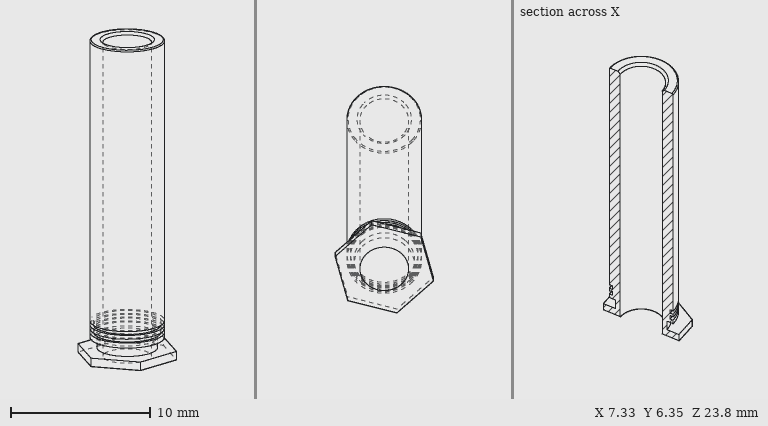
import cadquery as cq
import math

total_height = 23.8
hex_across_flats = 6.35
hex_thickness = 0.65

sleeve_diameter = 5.38
neck_diameter = 4.35
groove_diameter = 4.88
bore_diameter = 3.5
bore_mouth_diameter = 3.9

neck_top = 1.43
lower_collar_width = 0.38
groove_width = 0.29
groove_count = 2
land_width = 0.29
rim_chamfer = 0.1

hex_across_corners = hex_across_flats / math.cos(math.pi / 6)
flange = cq.Workplane("XY").polygon(6, hex_across_corners).extrude(hex_thickness)


def cylinder(diameter, bottom, top):
    """Upright cylinder on the part axis between two heights."""
    return cq.Workplane("XY").workplane(offset=bottom).circle(diameter / 2).extrude(top - bottom)


neck = cylinder(neck_diameter, 0, neck_top)

sleeve = cylinder(sleeve_diameter, neck_top, total_height).faces(">Z").chamfer(rim_chamfer)

for index in range(groove_count):
    groove_bottom = neck_top + lower_collar_width + index * (groove_width + land_width)
    groove_top = groove_bottom + groove_width
    ring = cylinder(sleeve_diameter, groove_bottom, groove_top).cut(
        cylinder(groove_diameter, groove_bottom, groove_top)
    )
    sleeve = sleeve.cut(ring)

mouth_chamfer = (bore_mouth_diameter - bore_diameter) / 2
bore = cylinder(bore_diameter, 0, total_height)
mouth = (
    cq.Workplane("XY")
    .workplane(offset=total_height - mouth_chamfer)
    .circle(bore_diameter / 2)
    .workplane(offset=mouth_chamfer)
    .circle(bore_mouth_diameter / 2)
    .loft()
)

result = flange.union(neck).union(sleeve).cut(bore).cut(mouth)